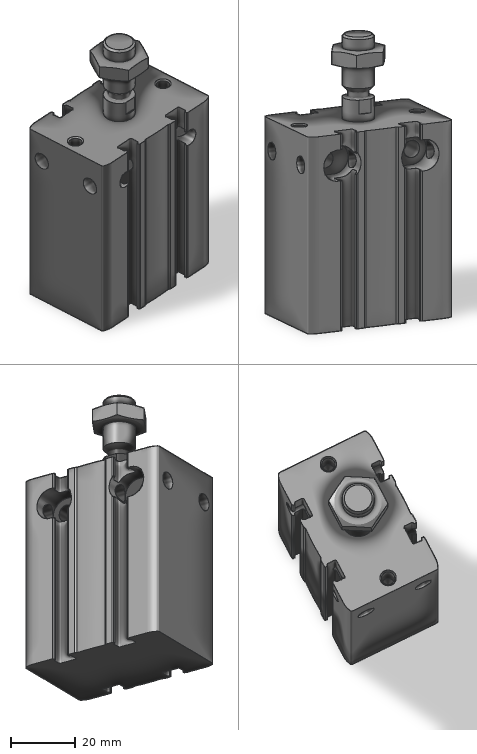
import cadquery as cq
import math


width = 32.0
length = 50.0
height = 63.0
corner_radius = 0.8
shoulder_radius = 7.0
shoulder_start = 21.5

panel_half = 5.2
panel_step_width = 0.7
panel_depth = 0.4
panel_crown = 0.2

slot_y = 11.2
slot_opening = 5.0
slot_inner = 6.5
slot_depth = 4.2
lip_thickness = 1.0
lip_bevel_width = 0.5
lip_bevel_depth = 0.2
slot_corner_radius = 0.5

mount_diameter = 5.5
mount_z = height - 10.0
side_mount_y = 15.0
end_mount_x = 10.0
counterbore_diameter = 10.0
counterbore_stretch = 3.0
counterbore_depth = 9.0

tap_y = 20.5
tap_diameter = 4.1
tap_mouth_diameter = 5.0
tap_depth = 8.1
drill_point_angle = 118

rod_diameter = 10.0
rod_top = 90.0
tip_diameter = 8.6
neck_diameter = 6.7
neck_fillet = 0.4
neck_bottom = height + 6.9
neck_top = height + 9.0
flat_bottom = height + 2.5
flat_width = 9.1

nut_flats = 16.0
nut_thickness = 5.0
nut_bottom = 80.7
nut_face_diameter = 14.8
nut_chamfer_angle = 15


def block():
    """Housing blank: straight ends, side walls curving inward near the corners."""
    half_x = width / 2
    half_y = length / 2
    shoulder_x = half_x - shoulder_radius
    center_gap = shoulder_radius - corner_radius
    gap_y = half_y - corner_radius - shoulder_start
    gap_x = math.sqrt(center_gap**2 - gap_y**2)
    flat_x = shoulder_x + gap_x
    end_x = shoulder_x + gap_x * shoulder_radius / center_gap
    end_y = shoulder_start + gap_y * shoulder_radius / center_gap
    return (
        cq.Workplane("XY")
        .moveTo(half_x, -shoulder_start)
        .lineTo(half_x, shoulder_start)
        .radiusArc((end_x, end_y), -shoulder_radius)
        .radiusArc((flat_x, half_y), -corner_radius)
        .lineTo(-flat_x, half_y)
        .radiusArc((-end_x, end_y), -corner_radius)
        .radiusArc((-half_x, shoulder_start), -shoulder_radius)
        .lineTo(-half_x, -shoulder_start)
        .radiusArc((-end_x, -end_y), -shoulder_radius)
        .radiusArc((-flat_x, -half_y), -corner_radius)
        .lineTo(flat_x, -half_y)
        .radiusArc((end_x, -end_y), -corner_radius)
        .radiusArc((half_x, -shoulder_start), -shoulder_radius)
        .close()
        .extrude(height)
    )


def panel_recess():
    """Shallow full-height recess in the -X side, with a crowned floor."""
    wall = -width / 2
    floor = wall + panel_depth
    mid_step = wall + panel_depth / 2
    mid_half = panel_half + panel_step_width / 2
    outer_half = panel_half + panel_step_width
    step_radius = (panel_depth**2 + panel_step_width**2) / (4 * panel_depth)
    return (
        cq.Workplane("XY")
        .moveTo(wall, -outer_half)
        .radiusArc((mid_step, -mid_half), -step_radius)
        .radiusArc((floor, -panel_half), step_radius)
        .threePointArc((floor - panel_crown, 0), (floor, panel_half))
        .radiusArc((mid_step, mid_half), step_radius)
        .radiusArc((wall, outer_half), -step_radius)
        .close()
        .extrude(height)
    )


def sensor_slot(y):
    """Full-height undercut slot in the -X side."""
    wall = -width / 2
    undercut_depth = slot_depth - lip_thickness
    undercut = (
        cq.Workplane("XY")
        .box(undercut_depth, slot_inner, height, centered=(False, True, False))
        .edges("|Z").fillet(slot_corner_radius)
        .translate((wall + lip_thickness, y, 0))
    )
    mouth_half = slot_opening / 2
    flare_half = mouth_half + lip_bevel_width
    mouth = (
        cq.Workplane("XY")
        .moveTo(0, -flare_half)
        .lineTo(lip_bevel_depth, -mouth_half)
        .lineTo(slot_depth / 2, -mouth_half)
        .lineTo(slot_depth / 2, mouth_half)
        .lineTo(lip_bevel_depth, mouth_half)
        .lineTo(0, flare_half)
        .close()
        .extrude(height)
        .translate((wall, y, 0))
    )
    return undercut.union(mouth)


def side_mount(side):
    """Hole along X with a stretched counterbore on the -X side."""
    hole = (
        cq.Workplane("YZ", origin=(-width / 2, side * side_mount_y, mount_z))
        .circle(mount_diameter / 2)
        .extrude(width)
    )
    counterbore_y = side * (side_mount_y - counterbore_stretch / 2)
    counterbore = (
        cq.Workplane("YZ", origin=(-width / 2, counterbore_y, mount_z))
        .slot2D(counterbore_diameter + counterbore_stretch, counterbore_diameter)
        .extrude(counterbore_depth)
    )
    return hole.union(counterbore)


def end_mount(side):
    """Plain hole along Y through the whole housing."""
    return (
        cq.Workplane("XZ", origin=(side * end_mount_x, length / 2, mount_z))
        .circle(mount_diameter / 2)
        .extrude(length)
    )


def tapped_hole(side):
    """Blind hole with a chamfered mouth and a drill-point bottom."""
    radius = tap_diameter / 2
    mouth_radius = tap_mouth_diameter / 2
    point_depth = radius / math.tan(math.radians(drill_point_angle / 2))
    return (
        cq.Workplane("XZ")
        .moveTo(0, 0)
        .lineTo(mouth_radius, 0)
        .lineTo(radius, radius - mouth_radius)
        .lineTo(radius, -tap_depth)
        .lineTo(0, -tap_depth - point_depth)
        .close()
        .revolve(360, (0, 0, 0), (0, 1, 0))
        .translate((0, side * tap_y, height))
    )


def make_housing():
    body = block()
    side_cuts = [panel_recess(), sensor_slot(slot_y), sensor_slot(-slot_y)]
    for cut in side_cuts:
        body = body.cut(cut).cut(cut.mirror("YZ"))
    for side in (-1, 1):
        body = body.cut(side_mount(side))
        body = body.cut(end_mount(side))
        body = body.cut(tapped_hole(side))
    return body


def make_rod():
    """Rod standing on the housing, with a neck, a chamfered tip and wrench flats."""
    radius = rod_diameter / 2
    neck_radius = neck_diameter / 2
    tip_radius = tip_diameter / 2
    tangent_length = neck_fillet * math.tan(math.radians(22.5))
    tangent_offset = tangent_length * math.cos(math.radians(45))
    rod = (
        cq.Workplane("XZ")
        .moveTo(0, height)
        .lineTo(radius, height)
        .lineTo(radius, neck_bottom)
        .lineTo(neck_radius + neck_fillet, neck_bottom)
        .radiusArc((neck_radius, neck_bottom + neck_fillet), neck_fillet)
        .lineTo(neck_radius, neck_top - tangent_length)
        .radiusArc((neck_radius + tangent_offset, neck_top + tangent_offset), neck_fillet)
        .lineTo(radius, neck_top + radius - neck_radius)
        .lineTo(radius, rod_top - (radius - tip_radius))
        .lineTo(tip_radius, rod_top)
        .lineTo(0, rod_top)
        .close()
        .revolve(360, (0, 0, 0), (0, 1, 0))
    )
    flat_cutter = (
        cq.Workplane("XY", origin=(flat_width / 2, 0, flat_bottom))
        .box(radius, rod_diameter, neck_bottom - flat_bottom, centered=(False, True, False))
    )
    return rod.cut(flat_cutter).cut(flat_cutter.mirror("YZ"))


def make_nut():
    """Hexagon nut on the rod, flats facing +-X, corners chamfered at both faces."""
    corner_diameter = nut_flats / math.cos(math.radians(30))
    face_radius = nut_face_diameter / 2
    point_radius = corner_diameter / 2
    drop = (point_radius - face_radius) * math.tan(math.radians(nut_chamfer_angle))
    hexagon = (
        cq.Workplane("XY")
        .polygon(6, corner_diameter)
        .extrude(nut_thickness)
        .rotate((0, 0, 0), (0, 0, 1), 30)
    )
    envelope = (
        cq.Workplane("XZ")
        .moveTo(0, 0)
        .lineTo(face_radius, 0)
        .lineTo(point_radius, drop)
        .lineTo(point_radius, nut_thickness - drop)
        .lineTo(face_radius, nut_thickness)
        .lineTo(0, nut_thickness)
        .close()
        .revolve(360, (0, 0, 0), (0, 1, 0))
    )
    bore = cq.Workplane("XY").circle(rod_diameter / 2).extrude(nut_thickness)
    return hexagon.intersect(envelope).cut(bore).translate((0, 0, nut_bottom))


housing = make_housing()
rod = make_rod()
nut = make_nut()

result = cq.Compound.makeCompound([housing.val(), rod.val(), nut.val()])